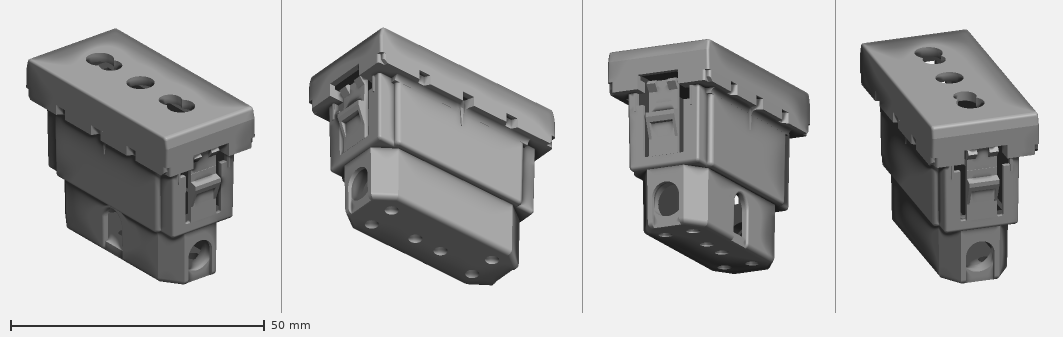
import cadquery as cq
import math

TOTAL_HEIGHT = 36.3
SEAM_Z = 29.82
FLANGE_BOTTOM_Z = 27.65
SHOULDER_Z = 11.95

COVER_LENGTH = 45.05
COVER_WIDTH = 22.5
COVER_TOP_WIDTH = 22.25
COVER_TAPER_Z = 33.95
COVER_TAPER = 0.55
COVER_END_ROUND_R = 0.8
COVER_SIDE_ROUND_R = 0.55
COVER_WALL = 1.25
COVER_TOP_THICKNESS = 2.0
LARGE_PIN_R = 2.8
SMALL_PIN_R = 2.3
LARGE_PIN_X = 12.95
SMALL_PIN_X = 9.5

WINDOW_HALF = 4.45
WINDOW_TOP_Z = 30.6
EAR_HALF = 5.85
EAR_BOTTOM_Z = 25.05

FLANGE_SIDE_HALF_LENGTH = 21.75
FLANGE_SIDE_HALF_WIDTH = COVER_WIDTH / 2
FLANGE_END_HALF_LENGTH = COVER_LENGTH / 2
FLANGE_END_HALF_WIDTH = 10.35
FLANGE_CORNER_R = 0.55
FLANGE_BEVEL = 0.9
NOTCH_HALF_WIDTH = 1.45
NOTCH_FLOOR_HALF_WIDTH = 0.7
NOTCH_PITCH = 11.2
SIDE_NOTCH_DEPTH = 1.15

BODY_HALF_LENGTH = 16.45
BODY_HALF_WIDTH = 9.0
WING_HALF_LENGTH = 20.2
WING_HALF_WIDTH = 7.9
BODY_DRAFT_DEGREES = 0.8
BODY_CORNER_R = 0.95
WING_CORNER_R = 0.55
SHOULDER_ROUND_R = 0.7
COLLAR_HALF_LENGTH = 17.07
COLLAR_SIZE = 1.1
BODY_WALL = 1.05
UPPER_FLOOR = 1.35

CENTRE_RIB_TIP_Z = 23.35
CENTRE_RIB_HALF_WIDTH = 0.4
CENTRE_RIB_TIP_HALF_WIDTH = 0.068
CENTRE_RIB_PROUD = 0.23
END_RIB_BOTTOM_Z = 23.8
END_RIB_Y = 6.15
END_RIB_WIDTH = 0.4
END_RIB_PROUD = 0.23

CLIP_HALF_WIDTH = 3.15
CLIP_TOP_Z = 29.6
CLIP_FACE_INSET = 0.15
SLOT_BOTTOM_Z = 14.3
SLOT_ROUND_R = 0.35
HOOK_TIP_X = 21.62
HOOK_TOP_Z = 23.35
HOOK_TIP_Z = 22.45
HOOK_TIP_HALF_HEIGHT = 0.45
HOOK_FOOT_Z = 17.75
HOOK_BAR_BOTTOM_Z = 20.95
HOOK_CHEEK = 0.6
RIDGE_BOTTOM_Z = 27.4
RIDGE_PEAK_Z = 28.85
RIDGE_PROUD = 1.15
RIDGE_TOP_PROUD = 0.55
RIDGE_GAP_HALF = 1.25

BASE_HALF_LENGTH = 19.2
BASE_HALF_WIDTH = 7.25
BASE_FLAT_HALF_LENGTH = 14.7
BASE_FLAT_HALF_WIDTH = 4.05
BASE_DRAFT_DEGREES = 0.9
BASE_ROUND_R = 1.13
BASE_FLOOR_Z = 2.1
BASE_CAVITY_HALF_LENGTH = 15.0
BASE_CAVITY_HALF_WIDTH = 5.85
BACK_RIB_HALF_WIDTH = 2.1
BACK_RIB_FACE_Y = 3.85

SIDE_ARCH_R = 2.9
SIDE_ARCH_CENTRE_Z = 7.6
SIDE_ARCH_DEPTH = 0.7
END_ARCH_R = 2.97
END_ARCH_CENTRE_Z = 6.05
END_ARCH_DEPTH = 1.0
ARCH_RIM_R = 0.5
RIM_SEARCH_MARGIN = 0.05
RIM_SEARCH_DEPTH = 0.45
WIRE_BORE_R = 3.67
WIRE_BORE_CENTRE_Z = 5.8

BOTTOM_HOLE_R = 1.4
OUTER_HOLE_Y = 3.05
CENTRE_HOLE_X = 3.25
CENTRE_HOLE_Y = -1.2


def block(x_half, y_half, z_low, z_high):
    """Box centred on the Z axis between two levels."""
    height = z_high - z_low
    return cq.Workplane("XY", origin=(0, 0, z_low)).rect(2 * x_half, 2 * y_half).extrude(height)


def span(x0, x1, y0, y1, z0, z1):
    """Box between two corners."""
    return cq.Workplane("XY").box(x1 - x0, y1 - y0, z1 - z0, centered=False).translate((x0, y0, z0))


def end_prism(points, y_half):
    """Extrude an X-Z outline symmetrically along Y."""
    return cq.Workplane("XZ").polyline(points).close().extrude(y_half, both=True)


def on_both_ends(shape):
    """The shape together with its copy turned half a turn about the Z axis."""
    return shape.union(shape.rotate((0, 0, 0), (0, 0, 1), 180))



def cover_shell():
    half = COVER_LENGTH / 2
    end_outline = [
        (-half, SEAM_Z),
        (half, SEAM_Z),
        (half, COVER_TAPER_Z),
        (half - COVER_TAPER, TOTAL_HEIGHT),
        (-half + COVER_TAPER, TOTAL_HEIGHT),
        (-half, COVER_TAPER_Z),
    ]
    side_outline = [
        (-COVER_WIDTH / 2, SEAM_Z),
        (COVER_WIDTH / 2, SEAM_Z),
        (COVER_TOP_WIDTH / 2, TOTAL_HEIGHT),
        (-COVER_TOP_WIDTH / 2, TOTAL_HEIGHT),
    ]
    side_prism = cq.Workplane("YZ").polyline(side_outline).close().extrude(half, both=True)
    end_shape = end_prism(end_outline, COVER_WIDTH).faces(">Z").edges("|Y").fillet(COVER_END_ROUND_R)
    shell = end_shape.intersect(side_prism)
    shell = shell.faces("<Y or >Y").edges("not <Z").fillet(COVER_SIDE_ROUND_R)
    cavity = block(
        COVER_LENGTH / 2 - COVER_WALL,
        COVER_WIDTH / 2 - COVER_WALL,
        SEAM_Z,
        TOTAL_HEIGHT - COVER_TOP_THICKNESS,
    )
    return shell.cut(cavity)


def pin_openings():
    def round_hole(x, radius):
        plane = cq.Workplane("XY", origin=(x, 0, SEAM_Z))
        return plane.circle(radius).extrude(TOTAL_HEIGHT - SEAM_Z)

    pair = round_hole(LARGE_PIN_X, LARGE_PIN_R).union(round_hole(SMALL_PIN_X, SMALL_PIN_R))
    return on_both_ends(pair).union(round_hole(0, LARGE_PIN_R))


def make_cover():
    window = block(COVER_LENGTH, WINDOW_HALF, SEAM_Z, WINDOW_TOP_Z)
    return cover_shell().cut(pin_openings()).cut(window)



def flange():
    half = FLANGE_SIDE_HALF_LENGTH
    side_outline = [
        (-half, SEAM_Z),
        (half, SEAM_Z),
        (half, FLANGE_BOTTOM_Z + FLANGE_BEVEL),
        (half - FLANGE_BEVEL, FLANGE_BOTTOM_Z),
        (-half + FLANGE_BEVEL, FLANGE_BOTTOM_Z),
        (-half, FLANGE_BOTTOM_Z + FLANGE_BEVEL),
    ]
    side_plates = end_prism(side_outline, FLANGE_SIDE_HALF_WIDTH)
    side_plates = side_plates.edges("|Z").fillet(FLANGE_CORNER_R)
    end_plates = block(FLANGE_END_HALF_LENGTH, FLANGE_END_HALF_WIDTH, FLANGE_BOTTOM_Z, SEAM_Z)
    end_plates = end_plates.edges("|Z").fillet(FLANGE_CORNER_R)
    return side_plates.union(end_plates)


def flange_notches():
    """Tapered notches in both long sides; the middle one reaches in to the body wall."""
    centre_depth = FLANGE_SIDE_HALF_WIDTH - BODY_HALF_WIDTH
    low_z = FLANGE_BOTTOM_Z - COLLAR_SIZE
    cutters = cq.Workplane("XY")
    for index in (-1, 0, 1):
        depth = centre_depth if index == 0 else SIDE_NOTCH_DEPTH
        floor_y = FLANGE_SIDE_HALF_WIDTH - depth
        x = index * NOTCH_PITCH
        outline = [
            (x - NOTCH_HALF_WIDTH, FLANGE_SIDE_HALF_WIDTH),
            (x + NOTCH_HALF_WIDTH, FLANGE_SIDE_HALF_WIDTH),
            (x + NOTCH_FLOOR_HALF_WIDTH, floor_y),
            (x - NOTCH_FLOOR_HALF_WIDTH, floor_y),
        ]
        notch = cq.Workplane("XY", origin=(0, 0, low_z)).polyline(outline).close()
        cutters = cutters.union(notch.extrude(SEAM_Z - low_z))
    return on_both_ends(cutters)


def drafted_block(x_half, y_half, corner_r):
    """Block that narrows downward, with rounded upright corners and a rounded bottom edge."""
    height = FLANGE_BOTTOM_Z - SHOULDER_Z
    plane = cq.Workplane("XY", origin=(0, 0, FLANGE_BOTTOM_Z))
    shape = plane.rect(2 * x_half, 2 * y_half).extrude(-height, taper=BODY_DRAFT_DEGREES)
    shape = shape.edges("not #Z").fillet(corner_r)
    return shape.faces("<Z").edges().fillet(SHOULDER_ROUND_R)


def upper_body():
    middle = drafted_block(BODY_HALF_LENGTH, BODY_HALF_WIDTH, BODY_CORNER_R)
    wings = drafted_block(WING_HALF_LENGTH, WING_HALF_WIDTH, WING_CORNER_R)
    return middle.union(wings)


def collar():
    """Hollow-curved transition from the body's long walls to the flange."""
    edge = BODY_HALF_WIDTH
    inset = COLLAR_SIZE * (1 - math.sqrt(0.5))
    profile = (
        cq.Workplane("YZ")
        .moveTo(0, FLANGE_BOTTOM_Z)
        .lineTo(edge + COLLAR_SIZE, FLANGE_BOTTOM_Z)
        .threePointArc(
            (edge + inset, FLANGE_BOTTOM_Z - inset),
            (edge, FLANGE_BOTTOM_Z - COLLAR_SIZE),
        )
        .lineTo(0, FLANGE_BOTTOM_Z - COLLAR_SIZE)
        .close()
    )
    return on_both_ends(profile.extrude(COLLAR_HALF_LENGTH, both=True))


def small_ribs():
    """Needle ribs at the middle of the long walls and short ribs beside the clip windows."""
    needle = (
        cq.Workplane("XZ", origin=(0, BODY_HALF_WIDTH + CENTRE_RIB_PROUD, 0))
        .polyline([
            (-CENTRE_RIB_HALF_WIDTH, FLANGE_BOTTOM_Z),
            (CENTRE_RIB_HALF_WIDTH, FLANGE_BOTTOM_Z),
            (CENTRE_RIB_TIP_HALF_WIDTH, CENTRE_RIB_TIP_Z),
            (-CENTRE_RIB_TIP_HALF_WIDTH, CENTRE_RIB_TIP_Z),
        ])
        .close()
        .extrude(BODY_WALL)
    )
    ribs = needle
    for y in (-END_RIB_Y, END_RIB_Y):
        ribs = ribs.union(span(
            WING_HALF_LENGTH - BODY_WALL, WING_HALF_LENGTH + END_RIB_PROUD,
            y - END_RIB_WIDTH / 2, y + END_RIB_WIDTH / 2,
            END_RIB_BOTTOM_Z, FLANGE_BOTTOM_Z,
        ))
    return on_both_ends(ribs)


def base():
    """Lower body: a rectangle with long corner bevels, drafted and rounded at the bottom."""
    outline = []
    for x_sign, y_sign in ((1, 1), (-1, 1), (-1, -1), (1, -1)):
        end_point = (x_sign * BASE_HALF_LENGTH, y_sign * BASE_FLAT_HALF_WIDTH)
        side_point = (x_sign * BASE_FLAT_HALF_LENGTH, y_sign * BASE_HALF_WIDTH)
        outline += [end_point, side_point] if x_sign * y_sign > 0 else [side_point, end_point]
    top_z = SHOULDER_Z + SHOULDER_ROUND_R
    plane = cq.Workplane("XY", origin=(0, 0, top_z))
    shape = plane.polyline(outline).close().extrude(-top_z, taper=BASE_DRAFT_DEGREES)
    return shape.faces("<Z").edges().fillet(BASE_ROUND_R)



def arch_recess(plane_name, origin, radius, centre_z, depth):
    """Arch-shaped pocket open at the bottom, cut inward along the plane's negative normal."""
    return (
        cq.Workplane(plane_name, origin=origin)
        .moveTo(-radius, -radius)
        .lineTo(-radius, centre_z)
        .threePointArc((0, centre_z + radius), (radius, centre_z))
        .lineTo(radius, -radius)
        .close()
        .extrude(-depth)
    )


def cut_wire_entries(shape):
    side_origin = (0, -BASE_HALF_WIDTH, 0)
    side_args = ("XZ", side_origin, SIDE_ARCH_R, SIDE_ARCH_CENTRE_Z)
    shape = shape.cut(arch_recess(*side_args, SIDE_ARCH_DEPTH))
    through = arch_recess(*side_args, BASE_HALF_WIDTH)
    shape = shape.cut(through.intersect(block(BASE_HALF_LENGTH, BASE_HALF_WIDTH, BASE_FLOOR_Z, SHOULDER_Z)))

    end_origin = (BASE_HALF_LENGTH, 0, 0)
    end_recess = arch_recess("YZ", end_origin, END_ARCH_R, END_ARCH_CENTRE_Z, END_ARCH_DEPTH)
    shape = shape.cut(on_both_ends(end_recess))
    bore = (
        cq.Workplane("YZ")
        .center(0, WIRE_BORE_CENTRE_Z)
        .circle(WIRE_BORE_R)
        .extrude(BASE_HALF_LENGTH - END_ARCH_DEPTH, both=True)
    )
    return shape.cut(bore)


def round_arch_rims(shape):
    """Round the outer rim of the wire entry in the long wall."""
    rim_half_width = SIDE_ARCH_R + RIM_SEARCH_MARGIN
    side_box = cq.selectors.BoxSelector(
        (-rim_half_width, -BASE_HALF_WIDTH - RIM_SEARCH_DEPTH, BASE_ROUND_R),
        (rim_half_width, -BASE_HALF_WIDTH + RIM_SEARCH_DEPTH, SHOULDER_Z - RIM_SEARCH_DEPTH),
    )
    return shape.edges(side_box).fillet(ARCH_RIM_R)


def cavities():
    upper = block(
        WING_HALF_LENGTH - BODY_WALL,
        WING_HALF_WIDTH - BODY_WALL,
        SHOULDER_Z + UPPER_FLOOR,
        SEAM_Z,
    )
    lower = block(
        BASE_CAVITY_HALF_LENGTH,
        BASE_CAVITY_HALF_WIDTH,
        BASE_FLOOR_Z,
        SHOULDER_Z + UPPER_FLOOR,
    )
    back_rib = span(
        -BACK_RIB_HALF_WIDTH, BACK_RIB_HALF_WIDTH,
        BACK_RIB_FACE_Y, BASE_CAVITY_HALF_WIDTH,
        BASE_FLOOR_Z, SHOULDER_Z + UPPER_FLOOR,
    )
    return upper.union(lower.cut(back_rib))


def bottom_holes():
    spots = [(-CENTRE_HOLE_X, CENTRE_HOLE_Y), (CENTRE_HOLE_X, CENTRE_HOLE_Y)]
    for x in (-LARGE_PIN_X, LARGE_PIN_X):
        spots += [(x, -OUTER_HOLE_Y), (x, OUTER_HOLE_Y)]
    return cq.Workplane("XY").pushPoints(spots).circle(BOTTOM_HOLE_R).extrude(BASE_FLOOR_Z)


def clip_windows():
    """Openings in the end walls that free the clips on three sides."""
    inner_x = WING_HALF_LENGTH - BODY_WALL
    outer_x = COVER_LENGTH / 2
    slot = span(inner_x, outer_x, -WINDOW_HALF, WINDOW_HALF, SLOT_BOTTOM_Z, SEAM_Z)
    ears = span(inner_x, outer_x, -EAR_HALF, EAR_HALF, EAR_BOTTOM_Z, FLANGE_BOTTOM_Z)
    tongue = span(inner_x, outer_x, -CLIP_HALF_WIDTH, CLIP_HALF_WIDTH, SLOT_BOTTOM_Z, EAR_BOTTOM_Z)
    lower_slots = slot.cut(tongue).edges("|X and <Z").fillet(SLOT_ROUND_R)
    return on_both_ends(lower_slots.union(ears))



def clip():
    """Spring tongue at the +X end with its hook and a split ridge at the top."""
    face_x = WING_HALF_LENGTH - CLIP_FACE_INSET
    back_x = WING_HALF_LENGTH - BODY_WALL
    tongue = span(back_x, face_x, -CLIP_HALF_WIDTH, CLIP_HALF_WIDTH, SLOT_BOTTOM_Z, CLIP_TOP_Z)

    hook_outline = [
        (back_x, HOOK_TOP_Z),
        (face_x, HOOK_TOP_Z),
        (HOOK_TIP_X, HOOK_TIP_Z + HOOK_TIP_HALF_HEIGHT),
        (HOOK_TIP_X, HOOK_TIP_Z - HOOK_TIP_HALF_HEIGHT),
        (face_x, HOOK_FOOT_Z),
        (back_x, HOOK_FOOT_Z),
    ]
    hook = end_prism(hook_outline, CLIP_HALF_WIDTH)
    pocket_half = CLIP_HALF_WIDTH - HOOK_CHEEK
    hook = hook.cut(span(face_x, HOOK_TIP_X, -pocket_half, pocket_half, HOOK_FOOT_Z, HOOK_BAR_BOTTOM_Z))

    ridge_outline = [
        (back_x, RIDGE_BOTTOM_Z),
        (face_x, RIDGE_BOTTOM_Z),
        (face_x + RIDGE_PROUD, RIDGE_PEAK_Z),
        (face_x + RIDGE_TOP_PROUD, CLIP_TOP_Z),
        (back_x, CLIP_TOP_Z),
    ]
    ridge = end_prism(ridge_outline, CLIP_HALF_WIDTH)
    gap = span(face_x, COVER_LENGTH / 2, -RIDGE_GAP_HALF, RIDGE_GAP_HALF, RIDGE_BOTTOM_Z, CLIP_TOP_Z)
    return tongue.union(hook).union(ridge.cut(gap))


def make_housing():
    lower = round_arch_rims(cut_wire_entries(base()))
    shape = upper_body().union(lower).union(collar()).union(flange())
    shape = shape.cut(flange_notches()).union(small_ribs())
    shape = shape.cut(cavities()).cut(bottom_holes()).cut(clip_windows())
    return shape.union(on_both_ends(clip()))


cover = make_cover()
housing = make_housing()

result = cq.Compound.makeCompound([cover.val(), housing.val()])